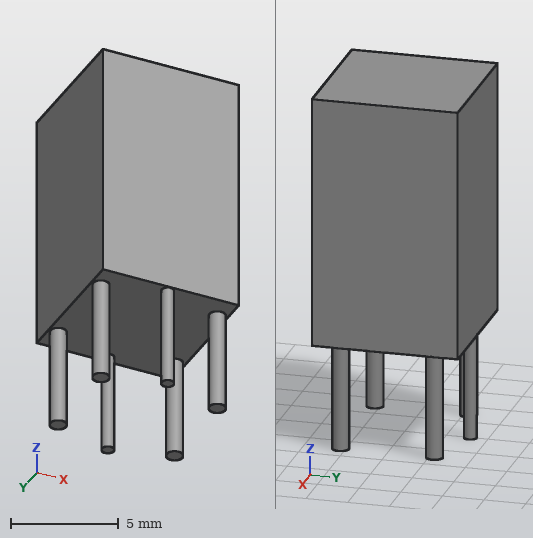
import cadquery as cq

housing_side = 7.0
total_height = 17.25
pin_length = 5.1
housing_height = total_height - pin_length

corner_pin_diameter = 0.8
corner_pin_x = 3.0
corner_pin_y = 2.25

middle_pin_diameter = 0.6
middle_pin_y = 3.15


def make_housing():
    """Plain square block centred on the Z axis."""
    return cq.Workplane("XY").box(
        housing_side, housing_side, housing_height, centered=(True, True, False)
    )


def make_pin(x, y, diameter):
    """Round pin hanging down from the underside of the housing."""
    return cq.Workplane("XY").center(x, y).circle(diameter / 2).extrude(-pin_length)


housing = make_housing()

corner_pins = [
    make_pin(side_x * corner_pin_x, side_y * corner_pin_y, corner_pin_diameter)
    for side_x in (-1, 1)
    for side_y in (-1, 1)
]

middle_pins = [
    make_pin(0, side_y * middle_pin_y, middle_pin_diameter)
    for side_y in (-1, 1)
]

result = cq.Compound.makeCompound(
    [housing.val()] + [pin.val() for pin in corner_pins + middle_pins]
)